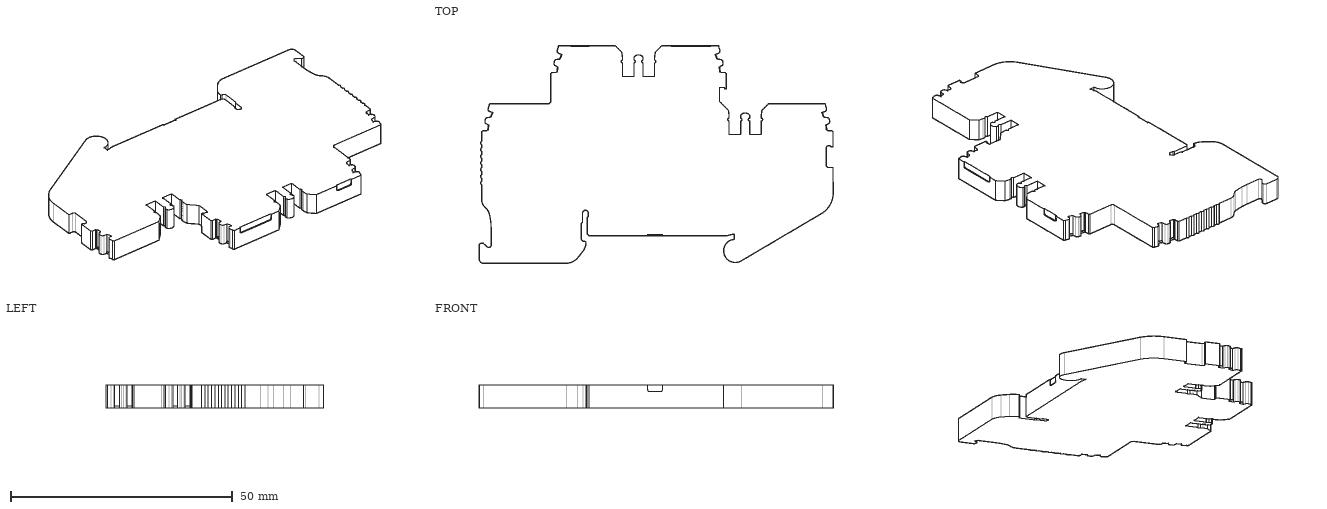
import cadquery as cq
import math


length = 79.8
height = 49.1
thickness = 5.2
cut_margin = 0.8

tier_shift = 24.0
shoulder_top = 36.0
left_wall = 0.55
block_left = 16.1
slot_center = 35.9
block_right = 2 * slot_center - block_left
right_wall = block_right + tier_shift
step_fillet = 0.55

grip_height = 6.3
ledge_depth = 0.15
ledge_height = 0.5
grip_walls = (
    ((2.4, -2.0), (2.0, -3.0)),
    ((1.5, -4.8), (1.35, -5.9)),
)

recess_depth = 1.5
recess_drop = 9.5
recess_height = 4.9
recess_fillet = 0.5
lip_width = 0.5
lip_drop = 0.2

slot_half = 3.6
slot_neck_half = 3.75
slot_mouth_half = 5.3
slot_depth = 6.95
neck_drop = 2.6
post_half = 1.0
post_drop = 2.1
post_side_drop = 2.6
groove_radius = 0.3
groove_drop = 3.6

serration_count = 7
serration_first = 18.1
serration_last = 27.1
serration_pitch = (serration_last - serration_first) / (serration_count - 1)
serration_half = 0.4
serration_rise = 0.2

foot_wall = 2.7
hook_top = 4.55
hook_fillet = 0.5
foot_fillet = 1.0
hook_slope_start = 0.95
hook_slope_end = (1.8, 3.75)
hook_throat = (2.4, 3.7)
hook_wall_start = 4.15
swing_start = 7.5
swing_bend = (2.6, 9.1)
swing_knee = (2.2, 11.3)
swing_middle = (1.4, 12.5)
swing_end = 14.2
toe_lip = (23.8, 5.0)
toe_tip = (24.1, 4.8)
bevel_top = (23.4, 2.7)
bevel_bottom = (22.2, 1.2)
toe_flat_end = 19.7
rail_face = 6.2
rail_left = 24.3
rail_chamfer = 0.4
rail_taper_start = 55.85
rail_taper_top = 6.6

spring_top = 12.0
spring_round_start = 11.3
spring_right = 24.6
spring_right_step = (10.4, 10.6)
spring_left_upper = 23.3
spring_left = 23.05
spring_left_step = (9.0, 9.3)
spring_foot = 5.5

ball_x = 57.8
ball_y = 2.95
ball_radius = 2.7
ball_end = (56.65, 5.3)
neck_x = 57.45
neck_bottom = 5.4
slope_end = (77.3, 11.3)
corner_mid = (79.0, 13.1)
corner_start = (length, 15.95)

pocket_depth = 0.2
pocket_height = 1.5
pocket_fillet = 0.4
rail_pocket = (38.0, 41.25)
top_pockets = ((20.7, 24.7), (43.3, 52.1))


def plate(profile):
    """Extrude a closed profile through the full thickness."""
    return profile.close().extrude(thickness)


def box(x_min, x_max, y_min, y_max, z_min, z_max):
    size = (x_max - x_min, y_max - y_min, z_max - z_min)
    return cq.Workplane("XY").box(*size, centered=False).translate((x_min, y_min, z_min))


def ball_tangent():
    """Point where the sloping edge touches the underside of the ball."""
    dx = slope_end[0] - ball_x
    dy = slope_end[1] - ball_y
    turn = math.acos(ball_radius / math.hypot(dx, dy))
    angle = math.atan2(dy, dx) - turn
    return ball_x + ball_radius * math.cos(angle), ball_y + ball_radius * math.sin(angle)


def main_body():
    recess_wall = block_right - recess_depth
    spring_axis = (spring_left_upper + spring_right) / 2
    slot_mouth = slot_center + tier_shift - slot_mouth_half
    outline = (
        cq.Workplane("XY")
        .moveTo(foot_fillet, 0)
        .radiusArc((0, foot_fillet), foot_fillet)
        .lineTo(0, hook_top - hook_fillet)
        .radiusArc((hook_fillet, hook_top), hook_fillet)
        .lineTo(hook_slope_start, hook_top)
        .lineTo(*hook_slope_end)
        .threePointArc(hook_throat, (foot_wall, hook_wall_start))
        .lineTo(foot_wall, swing_start)
        .lineTo(*swing_bend)
        .threePointArc((2.5, 10.2), swing_knee)
        .threePointArc((1.9, 12.0), swing_middle)
        .threePointArc((0.8, 13.3), (left_wall, swing_end))
        .lineTo(left_wall, shoulder_top)
        .lineTo(block_left - step_fillet, shoulder_top)
        .radiusArc((block_left, shoulder_top + step_fillet), -step_fillet)
        .lineTo(block_left, height)
        .lineTo(block_right, height)
        .lineTo(block_right, height - recess_drop)
        .lineTo(recess_wall, height - recess_drop)
        .lineTo(recess_wall, shoulder_top + slot_mouth - recess_wall)
        .lineTo(slot_mouth, shoulder_top)
        .lineTo(right_wall, shoulder_top)
        .lineTo(right_wall, shoulder_top - recess_drop - recess_height)
        .lineTo(*corner_start)
        .threePointArc(corner_mid, slope_end)
        .lineTo(*ball_tangent())
        .threePointArc((ball_x - ball_radius, ball_y), ball_end)
        .lineTo(neck_x, neck_bottom)
        .lineTo(neck_x, rail_taper_top)
        .lineTo(rail_taper_start, rail_face)
        .lineTo(rail_left + rail_chamfer, rail_face)
        .lineTo(rail_left, rail_face + rail_chamfer)
        .lineTo(rail_left, spring_right_step[0])
        .lineTo(spring_right, spring_right_step[1])
        .lineTo(spring_right, spring_round_start)
        .threePointArc((spring_axis, spring_top), (spring_left_upper, spring_round_start))
        .lineTo(spring_left_upper, spring_left_step[1])
        .lineTo(spring_left, spring_left_step[0])
        .lineTo(spring_left, spring_foot)
        .threePointArc((23.3, 5.1), toe_lip)
        .lineTo(*toe_tip)
        .threePointArc((23.9, 3.75), bevel_top)
        .lineTo(*bevel_bottom)
        .threePointArc((21.0, 0.3), (toe_flat_end, 0))
    )
    return plate(outline)


def place(tool, wall, top, side):
    """Move a tool drawn at a left-hand corner (0, 0); side = -1 mirrors it to the right."""
    if side < 0:
        tool = tool.mirror("YZ")
    return tool.translate((wall, top, 0))


def grip_cutter():
    """Space outside two hooked teeth, drawn for a left-hand corner at (0, 0)."""
    (upper_in, upper_out), (lower_in, lower_out) = grip_walls
    space = (
        cq.Workplane("XY")
        .moveTo(-cut_margin, cut_margin)
        .lineTo(2.1, cut_margin)
        .lineTo(2.1, 0)
        .threePointArc((1.75, -0.1), (1.7, -0.4))
        .lineTo(1.4, -1.1)
        .threePointArc((1.5, -1.5), (1.75, -1.75))
        .lineTo(*upper_in)
        .lineTo(*upper_out)
        .lineTo(1.3, -3.1)
        .threePointArc((0.95, -3.3), (0.8, -3.6))
        .lineTo(0.7, -4.0)
        .threePointArc((0.8, -4.3), (1.0, -4.55))
        .lineTo(*lower_in)
        .lineTo(*lower_out)
        .lineTo(1.2, -6.1)
        .lineTo(0.3, -6.1)
        .lineTo(0, -grip_height)
        .lineTo(-cut_margin, -grip_height)
    )
    cutter = plate(space)
    for (x_in, y_in), (x_out, y_out) in grip_walls:
        corners = [(x_in, y_in), (x_in + ledge_depth, y_in), (x_out + ledge_depth, y_out), (x_out, y_out)]
        deeper = cq.Workplane("XY", origin=(0, 0, ledge_height)).polyline(corners).close()
        cutter = cutter.union(deeper.extrude(thickness - ledge_height))
    return cutter


def recess_cutter():
    """Finger recess with a hanging outer lip, drawn for a left-hand corner at (0, 0)."""
    top = -recess_drop
    bottom = top - recess_height
    space = (
        cq.Workplane("XY")
        .moveTo(-cut_margin, top - lip_drop)
        .lineTo(lip_width, top - lip_drop)
        .lineTo(lip_width + lip_drop, top)
        .lineTo(recess_depth - recess_fillet, top)
        .radiusArc((recess_depth, top - recess_fillet), recess_fillet)
        .lineTo(recess_depth, bottom + recess_fillet)
        .radiusArc((recess_depth - recess_fillet, bottom), recess_fillet)
        .lineTo(-cut_margin, bottom)
    )
    return plate(space)


def slot_cutter():
    """Marker slot around a middle post; the slot axis is X = 0 and the tier top is Y = 0."""
    neck_start = slot_mouth_half - slot_neck_half
    right_side = [
        (slot_half, -slot_depth),
        (slot_half, -neck_drop),
        (slot_neck_half, -neck_start),
        (slot_mouth_half, 0),
    ]
    left_side = [(-x, y) for x, y in reversed(right_side)]
    slot = plate(cq.Workplane("XY").polyline(right_side + left_side))
    post = plate(
        cq.Workplane("XY")
        .moveTo(-post_half, -slot_depth)
        .lineTo(-post_half, -post_side_drop)
        .threePointArc((0, -post_drop), (post_half, -post_side_drop))
        .lineTo(post_half, -slot_depth)
    )
    cutter = slot.cut(post)
    groove_places = [(x, -groove_drop) for x in (-slot_half, -post_half, post_half, slot_half)]
    grooves = cq.Workplane("XY").pushPoints(groove_places).circle(groove_radius).extrude(thickness)
    return cutter.union(grooves)


def serration(y):
    """One rounded rib on the left wall, centred at height y."""
    rib = (
        cq.Workplane("XY")
        .moveTo(left_wall + serration_rise, y - serration_half)
        .lineTo(left_wall, y - serration_half)
        .threePointArc((left_wall - serration_rise, y), (left_wall, y + serration_half))
        .lineTo(left_wall + serration_rise, y + serration_half)
    )
    return plate(rib)


def label_pocket(x_range, y_min):
    """Shallow edge pocket with rounded lower corners."""
    z_min = thickness - pocket_height
    pocket = box(*x_range, y_min, y_min + pocket_depth, z_min, thickness)
    return pocket.edges("|Y and <Z").fillet(pocket_fillet)


result = main_body()

grip_corners = (
    (left_wall, shoulder_top, 1),
    (block_left, height, 1),
    (block_right, height, -1),
    (right_wall, shoulder_top, -1),
)
for wall, top, side in grip_corners:
    result = result.cut(place(grip_cutter(), wall, top, side))

result = result.cut(place(recess_cutter(), right_wall, shoulder_top, -1))

overhang = height - recess_drop
lip = box(block_right - lip_width, block_right, overhang - lip_drop, overhang, 0, thickness)
result = result.union(lip)

for axis, top in ((slot_center, height), (slot_center + tier_shift, shoulder_top)):
    result = result.cut(slot_cutter().translate((axis, top, 0)))

for index in range(serration_count):
    result = result.union(serration(serration_first + index * serration_pitch))

result = result.cut(label_pocket(rail_pocket, rail_face))
for x_range in top_pockets:
    result = result.cut(label_pocket(x_range, height - pocket_depth))